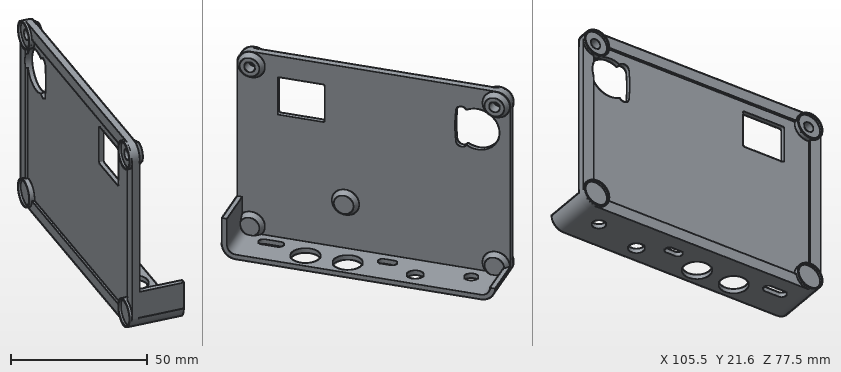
import cadquery as cq
import math


overall_width = 105.5
panel_width = 105.3
panel_height = 77.5
panel_thickness = 3.0
corner_radius = 5.5
border_width = 4.7
recess_depth = 1.0

foot_height = 1.1
seat_diameter = 10.0
seat_depth = 1.0
screw_hole_diameter = 4.1

standoff_base_diameter = 10.5
standoff_tip_diameter = 7.6
standoff_height = 2.0
middle_standoff_center = (63.5, 21.1)

tray_reach = 17.5
tray_wall = 2.0
right_wall_height = 16.4

ridge_overlap = 0.4
ridge_root = 0.5
ridge_drop = 1.6

window_width = 18.1
window_height = 15.6
window_center = (80.6, 60.9)
window_corner_radius = 0.6
plug_center = (12.7, 60.6)
plug_radius = 8.4
tab_offset = 6.1
tab_end_diameter = 4.5
tab_length = 16.7
tab_bulge = 0.3

round_ports = [
    ((13.1, 5.9), 5.3),
    ((33.0, 10.8), 6.2),
    ((59.3, 10.0), 11.1),
    ((75.5, 10.0), 11.1),
]
rounded_ports = [
    ((45.6, 5.1), 7.2, 3.6, 1.6),
    ((90.4, 5.1), 9.7, 3.9, 1.9),
]

front_y = -panel_thickness
foot_y = front_y - foot_height
left_x = corner_radius
right_x = panel_width - corner_radius
bottom_z = corner_radius
top_z = panel_height - corner_radius
cut_depth = standoff_height - foot_y
top_corners = [(left_x, top_z), (right_x, top_z)]
all_corners = top_corners + [(left_x, bottom_z), (right_x, bottom_z)]


def sketch_at(y):
    """Sketch plane at the given Y, drawn in X and Z."""
    return cq.Workplane(cq.Plane(origin=(0, y, 0), xDir=(1, 0, 0), normal=(0, -1, 0)))


def prism(sketch, length):
    """Extrude an X-Z sketch toward +Y."""
    return sketch.extrude(-length)


def make_panel():
    """Crossed plates that leave the corners to the round feet."""
    middle = (panel_width / 2, panel_height / 2)
    wide = sketch_at(front_y).center(*middle).rect(panel_width, panel_height - 2 * corner_radius)
    tall = sketch_at(front_y).center(*middle).rect(panel_width - 2 * corner_radius, panel_height)
    panel = prism(wide, panel_thickness).union(prism(tall, panel_thickness))
    recess = sketch_at(front_y).center(*middle).rect(
        panel_width - 2 * border_width, panel_height - 2 * border_width
    )
    return panel.cut(prism(recess, recess_depth))


def make_feet():
    feet = sketch_at(foot_y).pushPoints(all_corners).circle(corner_radius)
    return prism(feet, foot_height + panel_thickness)


def make_seats():
    return prism(sketch_at(foot_y).pushPoints(all_corners).circle(seat_diameter / 2), seat_depth)


def make_standoff(x, z):
    return cq.Workplane(cq.Solid.makeCone(
        standoff_base_diameter / 2,
        standoff_tip_diameter / 2,
        standoff_height,
        pnt=cq.Vector(x, 0, z),
        dir=cq.Vector(0, 1, 0),
    ))


def make_tray():
    inner_right = panel_width - tray_wall
    inner_reach = (corner_radius - tray_wall) * math.sqrt(0.5)
    outer_reach = corner_radius * math.sqrt(0.5)
    profile = (
        sketch_at(0)
        .moveTo(0, bottom_z)
        .threePointArc((left_x - outer_reach, bottom_z - outer_reach), (left_x, 0))
        .lineTo(right_x, 0)
        .threePointArc((right_x + outer_reach, bottom_z - outer_reach), (panel_width, bottom_z))
        .lineTo(panel_width, right_wall_height)
        .lineTo(inner_right, right_wall_height)
        .lineTo(inner_right, bottom_z)
        .threePointArc((right_x + inner_reach, bottom_z - inner_reach), (right_x, tray_wall))
        .lineTo(left_x, tray_wall)
        .threePointArc((left_x - inner_reach, bottom_z - inner_reach), (tray_wall, bottom_z))
        .close()
    )
    return prism(profile, tray_reach)


def make_ridge():
    """Thin ridge along the outside of the tray, where the right corner meets the right wall."""
    profile = (
        sketch_at(-ridge_overlap)
        .moveTo(overall_width, bottom_z)
        .lineTo(panel_width - ridge_root, bottom_z)
        .lineTo(panel_width - ridge_root, bottom_z - ridge_drop)
        .close()
    )
    return prism(profile, ridge_overlap + tray_reach)


def make_window():
    window = sketch_at(foot_y).center(*window_center).rect(window_width, window_height)
    return prism(window, cut_depth).edges("|Y").fillet(window_corner_radius)


def make_plug_opening():
    """Round opening joined to an upright slot whose right side bows out."""
    plug_x, plug_z = plug_center
    tab_x = plug_x + tab_offset
    tab_right = tab_x + tab_end_diameter / 2
    tab_half_straight = (tab_length - tab_end_diameter) / 2
    circle = sketch_at(foot_y).center(*plug_center).circle(plug_radius)
    slot = sketch_at(foot_y).center(tab_x, plug_z).slot2D(tab_length, tab_end_diameter, 90)
    bow = (
        sketch_at(foot_y)
        .moveTo(tab_x, plug_z - tab_half_straight)
        .lineTo(tab_right, plug_z - tab_half_straight)
        .threePointArc((tab_right + tab_bulge, plug_z), (tab_right, plug_z + tab_half_straight))
        .lineTo(tab_x, plug_z + tab_half_straight)
        .close()
    )
    return prism(circle, cut_depth).union(prism(slot, cut_depth)).union(prism(bow, cut_depth))


def make_screw_holes():
    return prism(sketch_at(foot_y).pushPoints(top_corners).circle(screw_hole_diameter / 2), cut_depth)


def make_floor_port(center, length, width, radius):
    port = cq.Workplane("XY").center(*center).rect(length, width).extrude(tray_wall)
    return port.edges("|Z").fillet(radius)


result = make_panel().union(make_feet()).union(make_tray()).union(make_ridge())
for corner in all_corners + [middle_standoff_center]:
    result = result.union(make_standoff(*corner))

result = result.cut(make_seats()).cut(make_screw_holes()).cut(make_window()).cut(make_plug_opening())
for center, diameter in round_ports:
    result = result.cut(cq.Workplane("XY").center(*center).circle(diameter / 2).extrude(tray_wall))
for center, length, width, radius in rounded_ports:
    result = result.cut(make_floor_port(center, length, width, radius))